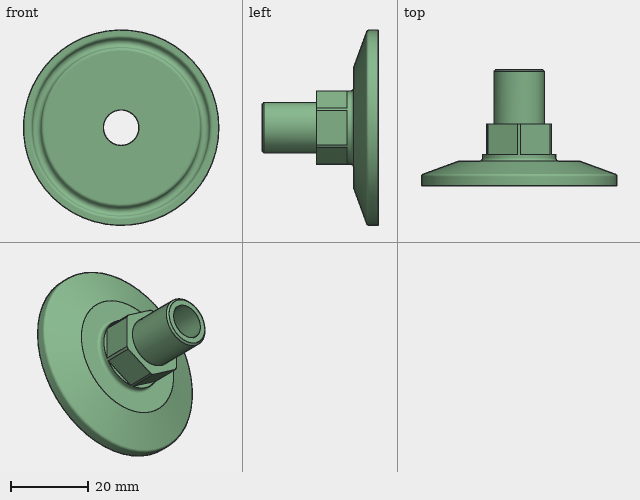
import cadquery as cq
import math

total_length = 30.0

flange_radius = 25.25
front_edge_round = 0.2
rim_shoulder_y = 2.3
rim_round = 0.75
cone_angle = math.radians(20)
flange_back_y = 6.35
cone_top_radius = 15.65

groove_centre_radius = 21.75
groove_floor_arc = 1.15
groove_lip_arc = 0.85
groove_flank_length = 0.25
groove_flank_angle = math.radians(70)

collar_radius = 9.5
collar_fillet = 0.8
hex_start_y = 8.1
hex_end_y = 16.0
hex_across_flats = 16.8

spigot_radius = 6.55
spigot_chamfer = 0.5
bore_radius = 4.55


def revolve_about_y(profile):
    return profile.close().revolve(360, (0, 0, 0), (0, 1, 0))


def cylinder_along_y(radius, start_y, end_y):
    disc = cq.Workplane("XZ", origin=(0, start_y, 0)).circle(radius)
    return disc.extrude(start_y - end_y)


def make_flange():
    shoulder_centre_radius = flange_radius - rim_round

    def shoulder_point(angle):
        return (
            shoulder_centre_radius + rim_round * math.cos(angle),
            rim_shoulder_y + rim_round * math.sin(angle),
        )

    cone_normal = math.pi / 2 - cone_angle
    body = revolve_about_y(
        cq.Workplane("XY")
        .lineTo(flange_radius, 0)
        .lineTo(flange_radius, rim_shoulder_y)
        .threePointArc(shoulder_point(cone_normal / 2), shoulder_point(cone_normal))
        .lineTo(cone_top_radius, flange_back_y)
        .lineTo(0, flange_back_y)
    )
    return body.faces("<Y").edges().fillet(front_edge_round)


def make_groove():
    half_angle = groove_flank_angle / 2
    sine = math.sin(groove_flank_angle)
    cosine = math.cos(groove_flank_angle)
    arc_sum = groove_floor_arc + groove_lip_arc
    half_width = arc_sum * sine + groove_flank_length * cosine
    depth = arc_sum * (1 - cosine) + groove_flank_length * sine

    def lip_point(side, angle):
        offset = half_width - groove_lip_arc * math.sin(angle)
        return (groove_centre_radius + side * offset, groove_lip_arc * (1 - math.cos(angle)))

    def floor_point(side):
        radius = groove_centre_radius + side * groove_floor_arc * sine
        return (radius, depth - groove_floor_arc * (1 - cosine))

    inner = -1
    outer = 1
    return revolve_about_y(
        cq.Workplane("XY")
        .moveTo(*lip_point(inner, 0))
        .threePointArc(lip_point(inner, half_angle), lip_point(inner, groove_flank_angle))
        .lineTo(*floor_point(inner))
        .threePointArc((groove_centre_radius, depth), floor_point(outer))
        .lineTo(*lip_point(outer, groove_flank_angle))
        .threePointArc(lip_point(outer, half_angle), lip_point(outer, 0))
    )


def make_collar():
    collar = cylinder_along_y(collar_radius, flange_back_y, hex_start_y)
    foot_end_y = flange_back_y + collar_fillet
    diagonal = collar_fillet * (1 - math.sqrt(0.5))
    foot = revolve_about_y(
        cq.Workplane("XY")
        .moveTo(0, flange_back_y)
        .lineTo(collar_radius + collar_fillet, flange_back_y)
        .threePointArc(
            (collar_radius + diagonal, flange_back_y + diagonal),
            (collar_radius, foot_end_y),
        )
        .lineTo(0, foot_end_y)
    )
    return collar.union(foot)


def make_hexagon():
    across_corners = hex_across_flats / math.cos(math.pi / 6)
    prism = (
        cq.Workplane("XZ", origin=(0, hex_start_y, 0))
        .transformed(rotate=(0, 0, 90))
        .polygon(6, across_corners)
        .extrude(hex_start_y - hex_end_y)
    )
    return prism.intersect(cylinder_along_y(collar_radius, hex_start_y, hex_end_y))


def make_spigot():
    spigot = cylinder_along_y(spigot_radius, hex_end_y, total_length)
    return spigot.faces(">Y").edges().chamfer(spigot_chamfer)


body = make_flange().cut(make_groove())
body = body.union(make_collar()).union(make_hexagon()).union(make_spigot())
result = body.cut(cylinder_along_y(bore_radius, 0, total_length))